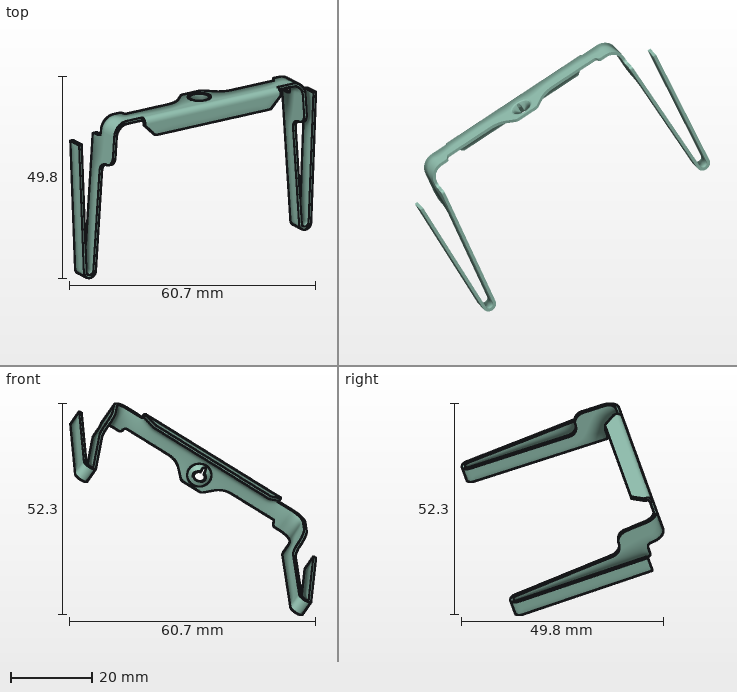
import math

import cadquery as cq

SHEET = 0.8

BAR_HALF = 24.47
CORNER_RADIUS = 3.8
INNER_LEAN = 4.0
OUTER_LEAN = 2.4
INNER_ARM_LENGTH = 36.32
FREE_ARM_LENGTH = 33.8
FOLD_RADIUS = 1.8

END_WIDTH = 6.0
BAR_WIDTH = 4.5
BOSS_BOTTOM = 8.4
ARM_TOP = 5.5
ARM_WIDTH = 4.0
ARM_BOTTOM = ARM_TOP + ARM_WIDTH

STEP_X = 22.25
STEP_FILLET = 0.8
BOSS_HALF = 3.0
BOSS_CORNER = 1.3
BOSS_BLEND = 5.8

PAD_END_Z = 11.55
PAD_CORNER = 2.7
PAD_BLEND = 2.5
HEEL_Z = 5.05
HEEL_CORNER = 0.7
HEEL_BLEND = 1.0

FLANGE_HALF = 20.0
FLANGE_TIP_HALF = 17.0
FLANGE_RADIUS = 1.5
FLANGE_DEPTH = 4.8
FLANGE_TAPER_Z = 1.8
FLANGE_CORNER = 0.4

CONE_Y = -4.75
CONE_RADIUS = 3.0
MOUTH_RADIUS = 2.85
MOUTH_CHAMFER = 0.34
MOUTH_CHAMFER_Z = 0.14
CONE_WALL = 0.26
RIM_RADIUS = 1.65
RIM_Z = 1.9
RIM_TILT = 18.6
SLOT_WIDTH = 0.95
SLOT_REACH = 2.04

TURN_X = 113.55
TURN_Y = 31.1
TURN_Z = 12.68
BAR_PLACE = (4.09, 18.5, 12.21)

X_AXIS = (1, 0, 0)
Y_AXIS = (0, 1, 0)
Z_AXIS = (0, 0, 1)


def across(x, y, heading, distance):
    """Point at a distance to the left of (x, y), square to a heading in degrees."""
    angle = math.radians(heading)
    return x - distance * math.sin(angle), y + distance * math.cos(angle)


def both_faces(x, y, heading):
    """Points on the left and right faces of the sheet beside a point on its middle line."""
    return across(x, y, heading, SHEET / 2), across(x, y, heading, -SHEET / 2)


def strip_section(plane, start, heading, bend_radius, turn, straight):
    """Section of a sheet strip that makes one bend and then runs straight.

    start is a point on the middle line, heading its direction in degrees, bend_radius the
    outer radius of the bend and turn its angle, positive to the left. Returns the section
    with the end point and end heading of the middle line.
    """
    to_centre = math.copysign(bend_radius - SHEET / 2, turn)
    centre = across(*start, heading, to_centre)
    halfway = heading + turn / 2
    end_heading = heading + turn
    bend_middle = across(*centre, halfway, -to_centre)
    bend_end = across(*centre, end_heading, -to_centre)
    tip = (
        bend_end[0] + straight * math.cos(math.radians(end_heading)),
        bend_end[1] + straight * math.sin(math.radians(end_heading)),
    )

    start_left, start_right = both_faces(*start, heading)
    middle_left, middle_right = both_faces(*bend_middle, halfway)
    bend_left, bend_right = both_faces(*bend_end, end_heading)
    tip_left, tip_right = both_faces(*tip, end_heading)
    section = (
        cq.Workplane(plane)
        .moveTo(*start_left)
        .threePointArc(middle_left, bend_left)
        .lineTo(*tip_left)
        .lineTo(*tip_right)
        .lineTo(*bend_right)
        .threePointArc(middle_right, start_right)
        .close()
    )
    return section, tip, end_heading


def leg_outline():
    """Prism over the outline of the corner bend and inner arm, looking along X."""
    near_z = -CORNER_RADIUS
    far_z = 2 * INNER_ARM_LENGTH
    reach_x = 2 * BAR_HALF
    outline = (
        cq.Workplane("YZ")
        .polyline(
            [
                (0, near_z),
                (0, PAD_END_Z),
                (-ARM_TOP, PAD_END_Z),
                (-ARM_TOP, far_z),
                (-ARM_BOTTOM, far_z),
                (-ARM_BOTTOM, HEEL_Z),
                (-END_WIDTH, HEEL_Z),
                (-END_WIDTH, near_z),
            ]
        )
        .close()
        .extrude(reach_x)
    )
    corners = [
        (0, PAD_END_Z, PAD_CORNER),
        (-ARM_TOP, PAD_END_Z, PAD_BLEND),
        (-ARM_BOTTOM, HEEL_Z, HEEL_CORNER),
        (-END_WIDTH, HEEL_Z, HEEL_BLEND),
    ]
    for y, z, radius in corners:
        corner = cq.selectors.NearestToPointSelector((reach_x / 2, y, z))
        outline = outline.edges(corner).fillet(radius)
    return outline


def leg():
    """Corner bend, inner arm, tip fold and free arm of the leg on the +X side."""
    section, fold_start, heading = strip_section(
        "XZ", (BAR_HALF, SHEET / 2), 0, CORNER_RADIUS, 90 - INNER_LEAN, INNER_ARM_LENGTH
    )
    inner = section.extrude(ARM_BOTTOM).intersect(leg_outline())
    fold_turn = INNER_LEAN + OUTER_LEAN - 180
    section, _, _ = strip_section("XZ", fold_start, heading, FOLD_RADIUS, fold_turn, FREE_ARM_LENGTH)
    free = section.extrude(ARM_WIDTH).translate((0, -ARM_TOP, 0))
    return inner.union(free)


def bar():
    """Flat bar with a boss in the middle and wider ends."""
    slope_x = BOSS_HALF + BOSS_BOTTOM - BAR_WIDTH
    right_side = [
        (BOSS_HALF, -BOSS_BOTTOM),
        (slope_x, -BAR_WIDTH),
        (STEP_X, -BAR_WIDTH),
        (STEP_X, -END_WIDTH),
        (BAR_HALF, -END_WIDTH),
        (BAR_HALF, 0),
    ]
    left_side = [(-x, y) for x, y in reversed(right_side)]
    plate = cq.Workplane("XY").polyline(right_side + left_side).close().extrude(SHEET)
    corners = [
        (BOSS_HALF, BOSS_BOTTOM, BOSS_CORNER),
        (slope_x, BAR_WIDTH, BOSS_BLEND),
        (STEP_X, BAR_WIDTH, STEP_FILLET),
        (STEP_X, END_WIDTH, STEP_FILLET),
    ]
    for x, depth, radius in corners:
        for side in (-1, 1):
            corner = cq.selectors.NearestToPointSelector((side * x, -depth, SHEET / 2))
            plate = plate.edges(corner).fillet(radius)
    return plate


def flange():
    """Edge flange bent square to the bar, with tapered ends."""
    straight = FLANGE_DEPTH - FLANGE_RADIUS
    section, _, _ = strip_section("YZ", (0, SHEET / 2), 0, FLANGE_RADIUS, 90, straight)
    blank = section.extrude(FLANGE_HALF, both=True)
    right_side = [(FLANGE_HALF, 0), (FLANGE_HALF, FLANGE_TAPER_Z), (FLANGE_TIP_HALF, FLANGE_DEPTH)]
    left_side = [(-x, z) for x, z in reversed(right_side)]
    outline = cq.Workplane("XZ").polyline(right_side + left_side).close()
    outline = outline.extrude(-2 * FLANGE_RADIUS).edges("|Y and >Z").fillet(FLANGE_CORNER)
    return blank.intersect(outline)


def cone_solid(base_z, base_radius, rim_z, rim_radius):
    """Solid between a round base parallel to the bar and a smaller tilted rim."""
    base = cq.Workplane("XY", origin=(0, CONE_Y, base_z)).circle(base_radius)
    rim = base.workplane(offset=rim_z - base_z).transformed(rotate=(RIM_TILT, 0, 0))
    return rim.circle(rim_radius).loft(ruled=True)


def press_cone(body):
    """Press the screw cone into the boss and cut its slot."""
    outside = cone_solid(SHEET, CONE_RADIUS, RIM_Z, RIM_RADIUS)
    throat_radius = MOUTH_RADIUS - MOUTH_CHAMFER
    inside = cone_solid(MOUTH_CHAMFER_Z, throat_radius, RIM_Z, RIM_RADIUS - CONE_WALL)
    mouth = (
        cq.Workplane("XY", origin=(0, CONE_Y, 0))
        .circle(MOUTH_RADIUS)
        .workplane(offset=MOUTH_CHAMFER_Z)
        .circle(throat_radius)
        .loft(ruled=True)
    )
    slot = (
        cq.Workplane("XY")
        .center(0, CONE_Y + SLOT_REACH / 2)
        .slot2D(SLOT_REACH + SLOT_WIDTH, SLOT_WIDTH, 90)
        .extrude(2 * RIM_Z)
    )
    return body.union(outside).cut(mouth).cut(inside).cut(slot)


right_leg = leg()
clip = press_cone(bar().union(flange())).union(right_leg).union(right_leg.mirror("YZ"))
result = (
    clip.rotate((0, 0, 0), X_AXIS, TURN_X)
    .rotate((0, 0, 0), Y_AXIS, TURN_Y)
    .rotate((0, 0, 0), Z_AXIS, TURN_Z)
    .translate(BAR_PLACE)
)